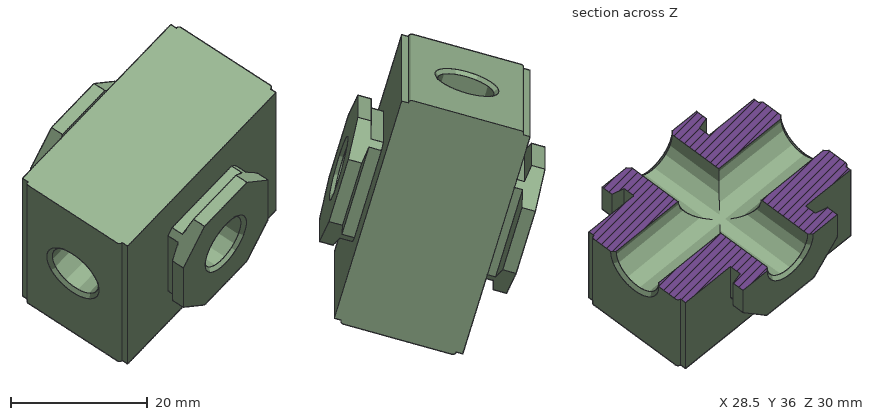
import cadquery as cq

overall_width = 28.5
block_width = 19.6
block_length = 36.0
block_height = 30.0
step_width = 1.0
step_depth = 0.5

head_size = 20.0
head_flat = 10.0
neck_size = 16.0
head_thickness = 2.05
neck_start = 2.55

bore_diameter = 8.55
bore_mouth_diameter = 9.72
bore_chamfer = (bore_mouth_diameter - bore_diameter) / 2


def make_block():
    """Block with stepped vertical edges, rounded where each step meets the end face."""
    full_width_part = cq.Workplane("XY").box(block_width, block_length - 2 * step_depth, block_height)
    rounded_part = (
        cq.Workplane("XY")
        .box(block_width - 2 * step_width, block_length, block_height)
        .edges("|Z")
        .fillet(step_depth)
    )
    return full_width_part.union(rounded_part)


def grooved_profile(plane):
    """Square heads and necks, seen as a stepped profile and extruded across the head."""
    outer_x = overall_width / 2
    rim_x = outer_x - head_thickness
    neck_x = outer_x - neck_start
    head_half = head_size / 2
    neck_half = neck_size / 2
    upper_side = [
        (outer_x, head_half),
        (rim_x, head_half),
        (neck_x, neck_half),
        (-neck_x, neck_half),
        (-rim_x, head_half),
        (-outer_x, head_half),
    ]
    lower_side = [(-x, -y) for x, y in upper_side]
    outline = cq.Workplane(plane).polyline(upper_side + lower_side).close()
    return outline.extrude(head_size / 2, both=True)


def make_fittings():
    """Grooved square bar whose four long corners are cut flat to form octagonal heads."""
    corner_cut = (head_size - head_flat) / 2
    octagonal_bar = (
        cq.Workplane("XY")
        .box(overall_width, head_size, head_size)
        .edges("|X")
        .chamfer(corner_cut)
    )
    return octagonal_bar.intersect(grooved_profile("XY")).intersect(grooved_profile("XZ"))


def make_bore(plane, length):
    """Through bore, widened by a 45 degree chamfer at both mouths."""
    half_length = length / 2
    bore = cq.Workplane(plane).circle(bore_diameter / 2).extrude(half_length, both=True)
    for side in (-1, 1):
        mouth = (
            cq.Workplane(plane)
            .workplane(offset=side * half_length)
            .circle(bore_mouth_diameter / 2)
            .workplane(offset=-side * bore_chamfer)
            .circle(bore_diameter / 2)
            .loft(ruled=True)
        )
        bore = bore.union(mouth)
    return bore


result = make_block().union(make_fittings())
result = result.cut(make_bore("YZ", overall_width))
result = result.cut(make_bore("XZ", block_length))